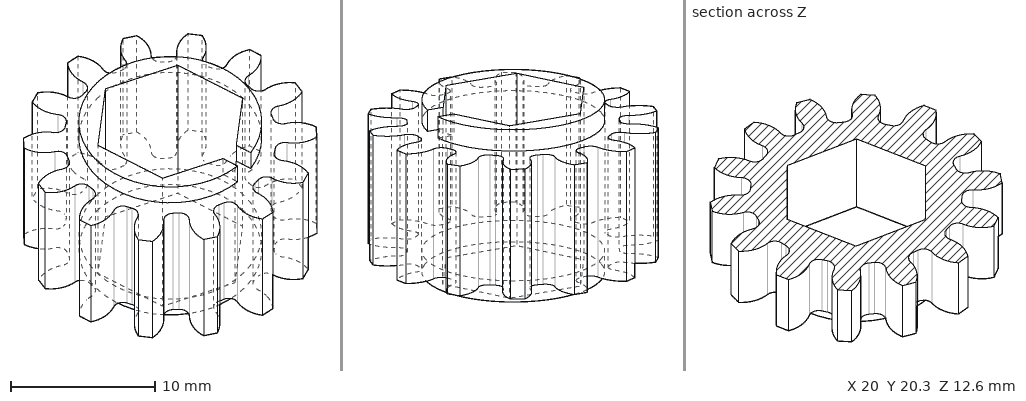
import cadquery as cq
import math

tooth_count = 14
tip_distance = 10.15
root_radius = 7.35
gear_width = 9.53

hub_radius = 6.35
hub_height = 1.56
total_height = gear_width + 2 * hub_height

hex_across_flats = 9.55
hex_across_corners = hex_across_flats / math.cos(math.pi / 6)
slot_width = 1.58

tip_half_width = 0.49
bulge_distance = 8.65
flank_radius = 2.44
fillet_radius = 0.67

pitch_angle = 2 * math.pi / tooth_count


def flank_points():
    """Points (half width, distance from the gear axis) along one flank, from tip to root."""
    tip_corner = (tip_half_width, tip_distance)
    tip_rise = tip_distance - bulge_distance
    flank_x = tip_half_width - math.sqrt(flank_radius**2 - tip_rise**2)
    flank_y = bulge_distance

    to_root = root_radius + fillet_radius
    to_flank = flank_radius + fillet_radius
    flank_distance = math.hypot(flank_x, flank_y)
    cosine = (to_root**2 + flank_distance**2 - to_flank**2) / (2 * to_root * flank_distance)
    fillet_angle = math.atan2(flank_y, flank_x) - math.acos(cosine)
    fillet_x = to_root * math.cos(fillet_angle)
    fillet_y = to_root * math.sin(fillet_angle)

    meeting_angle = math.atan2(fillet_y - flank_y, fillet_x - flank_x)
    tip_angle = math.atan2(tip_rise, tip_half_width - flank_x)

    def on_flank(angle):
        return (flank_x + flank_radius * math.cos(angle), flank_y + flank_radius * math.sin(angle))

    def on_fillet(angle):
        return (fillet_x + fillet_radius * math.cos(angle), fillet_y + fillet_radius * math.sin(angle))

    fillet_start = meeting_angle + math.pi
    fillet_end = fillet_angle + math.pi
    return [
        tip_corner,
        on_flank((tip_angle + meeting_angle) / 2),
        on_flank(meeting_angle),
        on_fillet((fillet_start + fillet_end) / 2),
        on_fillet(fillet_end),
    ]


def on_tooth(point, index, side):
    """Turn a flank point to one side (-1 or 1) of the tooth with the given index."""
    across, outward = side * point[0], point[1]
    angle = index * pitch_angle
    x = across * math.cos(angle) + outward * math.sin(angle)
    y = outward * math.cos(angle) - across * math.sin(angle)
    return (x, y)


def root_middle(index):
    """Middle of the root arc that follows a tooth."""
    angle = (index + 0.5) * pitch_angle
    return (root_radius * math.sin(angle), root_radius * math.cos(angle))


def make_gear():
    flank = flank_points()
    outline = cq.Workplane("XY").workplane(offset=-gear_width / 2)
    outline = outline.moveTo(*on_tooth(flank[-1], 0, -1))
    for i in range(tooth_count):
        tip_left, flank_left, meeting_left, fillet_left, _ = [on_tooth(p, i, -1) for p in flank]
        tip_right, flank_right, meeting_right, fillet_right, root_right = [on_tooth(p, i, 1) for p in flank]
        outline = (
            outline
            .threePointArc(fillet_left, meeting_left)
            .threePointArc(flank_left, tip_left)
            .lineTo(*tip_right)
            .threePointArc(flank_right, meeting_right)
            .threePointArc(fillet_right, root_right)
            .threePointArc(root_middle(i), on_tooth(flank[-1], i + 1, -1))
        )
    return outline.close().extrude(gear_width)


def make_hubs():
    return cq.Workplane("XY").circle(hub_radius).extrude(total_height / 2, both=True)


def make_bore():
    return cq.Workplane("XY").polygon(6, hex_across_corners).extrude(total_height / 2, both=True)


def make_slot():
    """Slot from the bore out through the +X side of the upper hub."""
    return cq.Workplane("XY").box(
        hub_radius, slot_width, hub_height, centered=(False, True, False)
    ).translate((0, 0, gear_width / 2))


result = make_gear().union(make_hubs()).cut(make_bore()).cut(make_slot())